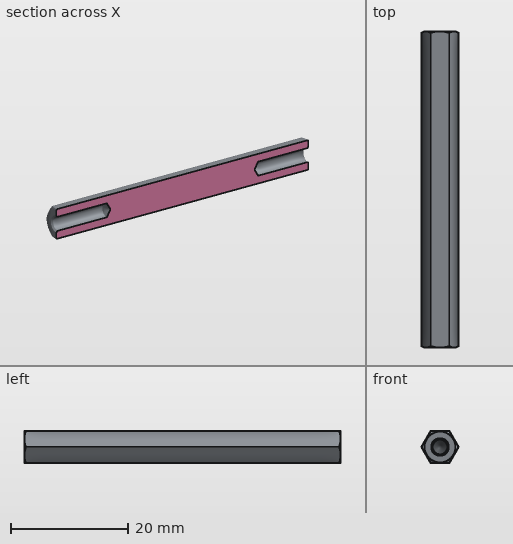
import cadquery as cq
import math

length = 54.0
across_flats = 5.5
across_corners = across_flats / math.cos(math.radians(30))

end_face_diameter = 5.25
chamfer_angle = 30.0

hole_diameter = 2.5
mouth_diameter = 3.0
hole_depth = 10.8
drill_point_angle = 118.0


def turned_envelope():
    """Cylinder around the hexagon corners, coned down at both ends."""
    corner_radius = across_corners / 2
    face_radius = end_face_diameter / 2
    chamfer_length = (corner_radius - face_radius) * math.tan(math.radians(chamfer_angle))
    half_length = length / 2
    return (
        cq.Workplane("XY")
        .moveTo(0, -half_length)
        .lineTo(face_radius, -half_length)
        .lineTo(corner_radius, -half_length + chamfer_length)
        .lineTo(corner_radius, half_length - chamfer_length)
        .lineTo(face_radius, half_length)
        .lineTo(0, half_length)
        .close()
        .revolve(360, (0, 0, 0), (0, 1, 0))
    )


def front_hole():
    """Blind hole entering from the -Y end, with a 45 degree countersink."""
    hole_radius = hole_diameter / 2
    mouth_radius = mouth_diameter / 2
    mouth = -length / 2
    bottom = mouth + hole_depth
    tip_length = hole_radius / math.tan(math.radians(drill_point_angle / 2))
    return (
        cq.Workplane("XY")
        .moveTo(0, mouth)
        .lineTo(mouth_radius, mouth)
        .lineTo(hole_radius, mouth + mouth_radius - hole_radius)
        .lineTo(hole_radius, bottom)
        .lineTo(0, bottom + tip_length)
        .close()
        .revolve(360, (0, 0, 0), (0, 1, 0))
    )


hexagon_bar = cq.Workplane("XZ").polygon(6, across_corners).extrude(length / 2, both=True)
hole = front_hole()
result = hexagon_bar.intersect(turned_envelope()).cut(hole).cut(hole.mirror("XZ"))